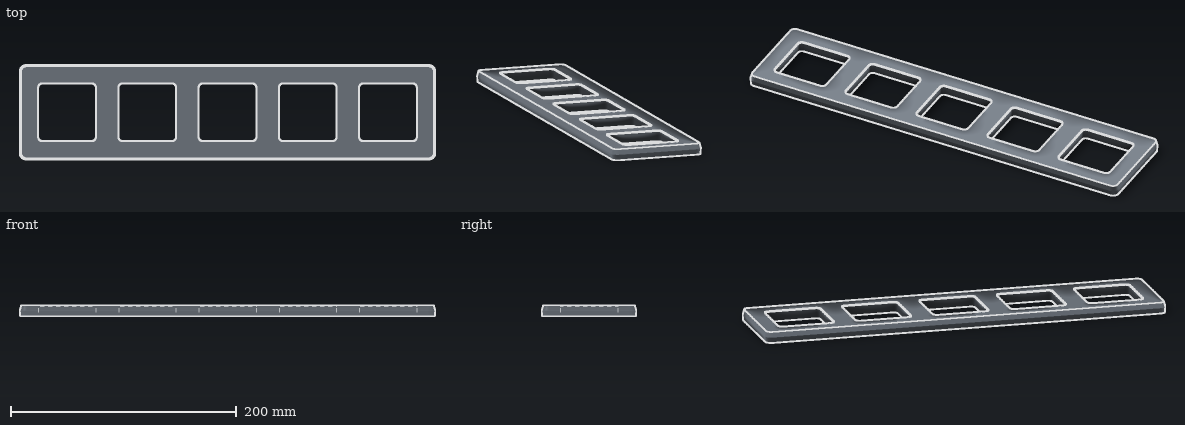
import cadquery as cq

length = 368.0
width = 84.0
height = 10.0
corner_radius = 6.0

waist_bottom = 4.8
waist_top = 5.0
upper_lean = 1.3
lower_lean = 0.5

opening_count = 5
opening_pitch = 71.0
opening_size = 50.8
opening_corner_radius = 3.5
rim_chamfer_width = 0.5
rim_chamfer_depth = 0.7


def outline(inset, level):
    """Rounded frame outline moved inwards by the inset and raised to the level."""
    sketch = cq.Sketch().rect(length - 2 * inset, width - 2 * inset)
    sketch = sketch.vertices().fillet(corner_radius - inset)
    return sketch.moved(cq.Location(cq.Vector(0, 0, level)))


def side_band(bottom_outline, top_outline):
    """Solid layer of the frame whose sides run straight between two outlines."""
    return cq.Workplane("XY").placeSketch(bottom_outline, top_outline).loft()


lower_band = side_band(outline(lower_lean, 0), outline(0, waist_bottom))
waist_band = side_band(outline(0, waist_bottom), outline(0, waist_top))
upper_band = side_band(outline(0, waist_top), outline(upper_lean, height))
frame = lower_band.union(waist_band).union(upper_band)

openings = (
    cq.Workplane("XY")
    .rarray(opening_pitch, opening_pitch, opening_count, 1)
    .rect(opening_size, opening_size)
    .extrude(height)
    .edges("|Z")
    .fillet(opening_corner_radius)
)
frame = frame.cut(openings)

top_face = frame.faces(">Z").val()
rim_edges = [edge for rim in top_face.innerWires() for edge in rim.Edges()]
result = frame.newObject(rim_edges).chamfer(rim_chamfer_depth, rim_chamfer_width)